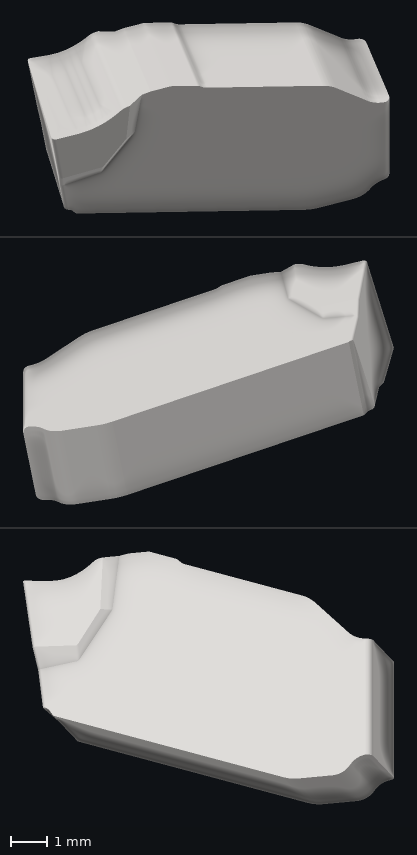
import cadquery as cq
import math

LENGTH = 10.0
HEIGHT = 7.03
BODY_WIDTH = 2.38
EDGE_WIDTH = 3.03
LEAD_ANGLE = 5.0
FRONT_RELIEF = 7.1
CORNER_RADIUS = 0.1
BACK_EDGE_RADIUS = 0.2
OVERHANG = 0.4
BLANK_HEIGHT = 8.0
HEAD_FLOOR_Z = 3.6
BIG = 30.0

BACK_BOTTOM = 0.52
BACK_TOP = 3.90
BODY_SLOPE = math.tan(math.radians(20))
CREST_SLOPE = math.tan(math.radians(10))
GROOVE_ENTRY_SLOPE = math.tan(math.radians(41))
GROOVE_EXIT_SLOPE = 0.14

BACK_RAMP_Y = 9.57
SHOULDER_Y = 8.22
SHOULDER_SPREAD = 0.1
STEP_FOOT_Y = 4.53
STEP_HEAD_Y = 4.39
CREST_FRONT_Y = 2.98
GROOVE_Y = 2.11
GROOVE_FLANK = (1.16, 6.363)
GROOVE_FLOOR = (0.75, 6.345)
TIP_Z = 6.42

TOE_Y = 0.806
TOE_Z = 2.50
TOE_CURVE_END = (0.72, 2.62)
TOE_CURVE_MIDDLE = (0.655, 2.71)
TOE_LIP = (0.56, 2.76)
TOE_LIP_SLOPE = 0.3
SOLE_RADIUS = 1.3
HEEL_TOP_Y = 9.9
HEEL_ANGLE = 54.0
HEEL_RADIUS = 0.63

BACK_RAMP_RADIUS = 0.8
SHOULDER_BACK_RADIUS = 1.2
SHOULDER_FRONT_RADIUS = 0.9
STEP_FOOT_RADIUS = 0.4
STEP_HEAD_RADIUS = 0.2
CREST_BACK_RADIUS = 0.2
CREST_FRONT_RADIUS = 0.1
GROOVE_LIP_RADIUS = 0.36

HEAD_LENGTH = 3.5
HEAD_BREAK_Y = 2.515
HEAD_BREAK_Z = 5.43
FLANK_SIDE_RELIEF = 0.058
FLANK_DROP_UPPER = 0.040
FLANK_DROP_LOWER = 0.050
FLOOR_BACK_Y = 1.53
FLOOR_BACK_Z = 4.03
FLOOR_SIDE_RELIEF = 0.045
FLOOR_DROP = 0.36
RAMP_RUN = 0.52
RAMP_LEAN_UPPER = 0.13
RAMP_LEAN_LOWER = 0.70
HEAD_CORNER_RADIUS = 0.2


def rounded_corner(before, corner, after, radius):
    """Start, middle and end of the arc that rounds one corner of an outline."""
    def unit(p):
        dy, dz = p[0] - corner[0], p[1] - corner[1]
        size = math.hypot(dy, dz)
        return dy / size, dz / size

    a, b = unit(before), unit(after)
    half = math.acos(a[0] * b[0] + a[1] * b[1]) / 2
    reach = radius / math.tan(half)
    start = (corner[0] + a[0] * reach, corner[1] + a[1] * reach)
    end = (corner[0] + b[0] * reach, corner[1] + b[1] * reach)
    bisector = (a[0] + b[0], a[1] + b[1])
    size = math.hypot(*bisector)
    depth = radius / math.sin(half) - radius
    middle = (corner[0] + bisector[0] / size * depth, corner[1] + bisector[1] / size * depth)
    return start, middle, end


def top_corners():
    """Sharp corners of the top outline from back to front, each with its rounding radius."""
    shoulder_z = BACK_TOP + BACK_RAMP_Y - SHOULDER_Y
    step_foot_z = shoulder_z + (SHOULDER_Y - STEP_FOOT_Y) * BODY_SLOPE
    step_head_z = step_foot_z + STEP_FOOT_Y - STEP_HEAD_Y
    crest_y = STEP_HEAD_Y - (HEIGHT - step_head_z) / BODY_SLOPE
    groove_z = HEIGHT - (CREST_FRONT_Y - GROOVE_Y) * CREST_SLOPE
    return [
        (BACK_RAMP_Y, BACK_TOP, BACK_RAMP_RADIUS),
        (SHOULDER_Y + SHOULDER_SPREAD, shoulder_z - SHOULDER_SPREAD, SHOULDER_BACK_RADIUS),
        (SHOULDER_Y - SHOULDER_SPREAD, shoulder_z + SHOULDER_SPREAD * BODY_SLOPE, SHOULDER_FRONT_RADIUS),
        (STEP_FOOT_Y, step_foot_z, STEP_FOOT_RADIUS),
        (STEP_HEAD_Y, step_head_z, STEP_HEAD_RADIUS),
        (crest_y, HEIGHT, CREST_BACK_RADIUS),
        (CREST_FRONT_Y, HEIGHT, CREST_FRONT_RADIUS),
        (GROOVE_Y, groove_z, GROOVE_LIP_RADIUS),
    ]


def side_profile():
    """Closed side outline, on a plane clear of the part on its -X side."""
    path = cq.Workplane("YZ", origin=(-EDGE_WIDTH, 0, 0))
    path = path.moveTo(LENGTH, BACK_BOTTOM).lineTo(LENGTH, BACK_TOP)

    corners = top_corners()
    groove_z = corners[-1][1]
    groove_entry = (GROOVE_Y - 1, groove_z - GROOVE_ENTRY_SLOPE)
    guides = [(LENGTH, BACK_TOP)] + [corner[:2] for corner in corners] + [groove_entry]
    for before, (y, z, radius), after in zip(guides, corners, guides[2:]):
        start, middle, end = rounded_corner(before, (y, z), after, radius)
        path = path.lineTo(*start).threePointArc(middle, end)

    runout = (-OVERHANG, TIP_Z + OVERHANG * GROOVE_EXIT_SLOPE)
    path = path.spline(
        [GROOVE_FLANK, GROOVE_FLOOR, (0, TIP_Z), runout],
        tangents=[(-1, -GROOVE_ENTRY_SLOPE), (-1, GROOVE_EXIT_SLOPE)],
        includeCurrent=True,
    )

    lip_end = (-OVERHANG, TOE_LIP[1] + (TOE_LIP[0] + OVERHANG) * TOE_LIP_SLOPE)
    path = path.lineTo(*lip_end).lineTo(*TOE_LIP)
    path = path.threePointArc(TOE_CURVE_MIDDLE, TOE_CURVE_END).lineTo(TOE_Y, TOE_Z)

    turn = math.radians(HEEL_ANGLE)
    heel_run = HEEL_RADIUS * math.sin(turn)
    sole_front_y = TOE_Y + TOE_Z / BODY_SLOPE
    sole_back_y = HEEL_TOP_Y - 2 * heel_run
    start, middle, end = rounded_corner((TOE_Y, TOE_Z), (sole_front_y, 0), (sole_back_y, 0), SOLE_RADIUS)
    path = path.lineTo(*start).threePointArc(middle, end).lineTo(sole_back_y, 0)

    half_run = HEEL_RADIUS * math.sin(turn / 2)
    half_rise = HEEL_RADIUS * (1 - math.cos(turn / 2))
    inflection = (sole_back_y + heel_run, BACK_BOTTOM / 2)
    path = path.threePointArc((sole_back_y + half_run, half_rise), inflection)
    path = path.threePointArc((HEEL_TOP_Y - half_run, BACK_BOTTOM - half_rise), (HEEL_TOP_Y, BACK_BOTTOM))
    return path.close()


def trim(solid, point, normal):
    """Cut off everything on the side of the plane that its normal points to."""
    block = cq.Workplane(cq.Plane(point, normal=normal)).rect(BIG, BIG).extrude(BIG)
    return solid.cut(block)


def trim_rounded(solid, point, normal):
    """Trim with a side plane and the front face, rounding the upright edge where they meet."""
    lead = math.tan(math.radians(LEAD_ANGLE))
    relief = math.tan(math.radians(FRONT_RELIEF))
    wedge = cq.Workplane("XY").box(BIG, BIG, BLANK_HEIGHT, centered=(True, True, False))
    wedge = trim(wedge, (EDGE_WIDTH / 2 - CORNER_RADIUS, 0, TIP_Z), (-lead, -1, -relief))
    wedge = trim(wedge, point, normal)
    near_corner = (point[0], 0, BLANK_HEIGHT / 2)
    corner = cq.selectors.NearestToPointSelector(near_corner)
    return solid.intersect(wedge.edges(corner).fillet(CORNER_RADIUS))


def make_head():
    """The widened head: a block trimmed on both sides by flanks, floor and ramps."""
    half_body = BODY_WIDTH / 2
    break_width = EDGE_WIDTH / 2 - (TIP_Z - HEAD_BREAK_Z) * FLANK_DROP_UPPER
    stock = (2 * EDGE_WIDTH, HEAD_LENGTH + OVERHANG, BLANK_HEIGHT - HEAD_FLOOR_Z)
    head = cq.Workplane("XY").box(*stock, centered=(True, False, False))
    head = head.translate((0, -OVERHANG, HEAD_FLOOR_Z))
    for side in (1, -1):
        break_point = (side * break_width, 0, HEAD_BREAK_Z)
        for drop in (FLANK_DROP_UPPER, FLANK_DROP_LOWER):
            head = trim_rounded(head, break_point, (side, FLANK_SIDE_RELIEF, -drop))

        floor_point = (side * half_body, FLOOR_BACK_Y, FLOOR_BACK_Z)
        head = trim_rounded(head, floor_point, (side, FLOOR_SIDE_RELIEF, -FLOOR_DROP))

        ramp_point = (side * half_body, HEAD_BREAK_Y, HEAD_BREAK_Z)
        for lean in (RAMP_LEAN_UPPER, RAMP_LEAN_LOWER):
            head = trim(head, ramp_point, (side, RAMP_RUN, -RAMP_RUN * lean))

        above_floor = (floor_point[0], FLOOR_BACK_Y, FLOOR_BACK_Z + FLOOR_DROP / 2)
        floor_corner = cq.selectors.NearestToPointSelector(above_floor)
        head = head.edges(floor_corner).fillet(HEAD_CORNER_RADIUS)
    return head


def make_body():
    """The straight body with rounded upright edges at the back and the front."""
    stock = (BODY_WIDTH, LENGTH + OVERHANG, BLANK_HEIGHT)
    body = cq.Workplane("XY").box(*stock, centered=(True, False, False))
    body = body.translate((0, -OVERHANG, 0))
    body = body.edges("|Z and >Y").fillet(BACK_EDGE_RADIUS)
    for side in (1, -1):
        body = trim_rounded(body, (side * BODY_WIDTH / 2, 0, 0), (side, 0, 0))
    return body


blank = make_body().union(make_head())
outline_slab = side_profile().extrude(2 * EDGE_WIDTH)
result = outline_slab.intersect(blank)